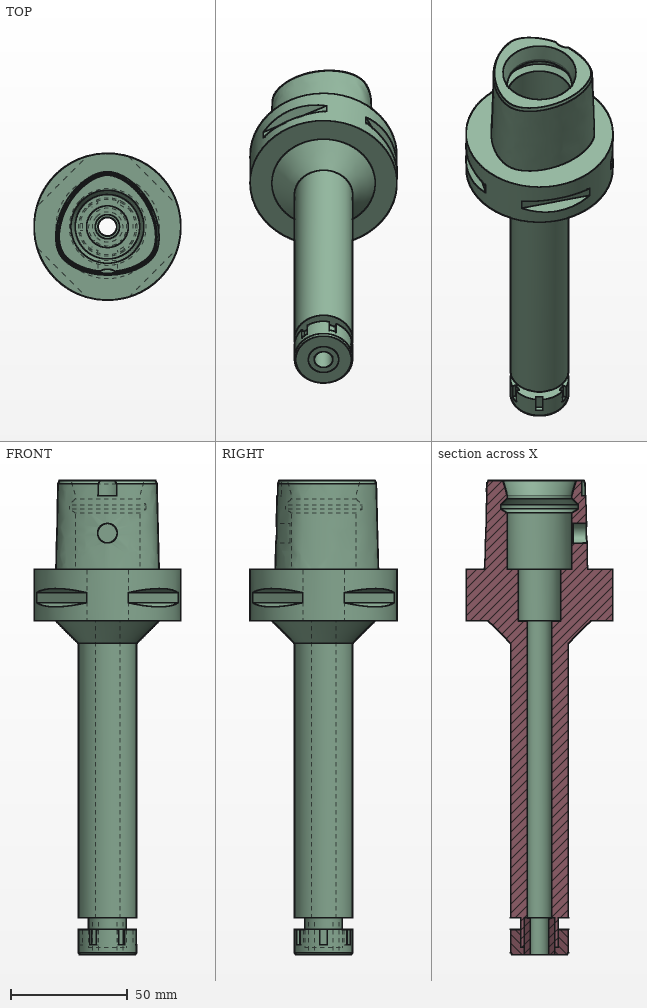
import cadquery as cq
import math

total_height = 203.0
shank_length = 38.0
flange_height = 22.1
flange_radius = 31.5
flange_top = total_height - shank_length
flange_bottom = flange_top - flange_height

shank_base_width = 44.3
shank_taper = 1 / 20
lobe_amplitude = 1.5
lobe_points = 36
shank_chamfer_height = 1.5
shank_chamfer_inset = 0.6

notch_radius = 6.0
notch_depth = 1.6
notch_height = 6.5
pocket_diameter = 8.3
pocket_drop = 22.5
pocket_floor_y = -14.5

mouth_radius = 15.6
bore_radius = 13.8
undercut_radius = 16.5
mouth_depth = 6.3
undercut_start = 7.7
undercut_full = undercut_start + undercut_radius - bore_radius
undercut_end = 12.2
seat_depth = 13.8
bore_depth = shank_length
counterbore_radius = 9.0
counterbore_depth = bore_depth + flange_height
coolant_radius = 10.4 / 2

groove_count = 4
groove_rise = 10.0
groove_first_angle = 45.0
groove_floor_distance = 27.6
groove_floor_height = 4.3
groove_flank_angle = 25.0
groove_middle = flange_bottom + groove_rise

body_radius = 25.0 / 2
cone_radius = 22.1
cone_bottom = flange_bottom - (cone_radius - body_radius)

nut_radius = body_radius
nut_height = 11.0
nut_chamfer_height = 1.0
nut_chamfer_inset = 0.6
nut_lip = 3.2
nut_slot_count = 6
nut_slot_width = 3.0
nut_slot_depth = 1.6
nut_slot_bottom = 4.3
neck_radius = 8.1
neck_gap = 4.9
body_bottom = nut_height + neck_gap
collet_radius = 6.5
collet_length = body_bottom
collet_bore_radius = 8.0 / 2


def revolve_profile(points):
    """Solid of revolution about Z from (radius, z) points."""
    return cq.Workplane("XZ").polyline(points).close().revolve(360, (0, 0, 0), (0, 1, 0))


def lobe_wire(width, z):
    """Smooth closed three-lobed curve of constant width with one lobe toward +Y."""

    def point(angle):
        lobe_phase = 3 * (angle - math.pi / 2)
        support = width / 2 + lobe_amplitude * math.cos(lobe_phase)
        slope = -3 * lobe_amplitude * math.sin(lobe_phase)
        x = support * math.cos(angle) - slope * math.sin(angle)
        y = support * math.sin(angle) + slope * math.cos(angle)
        return cq.Vector(x, y, z)

    points = [point(2 * math.pi * index / lobe_points) for index in range(lobe_points)]
    return cq.Wire.assembleEdges([cq.Edge.makeSpline(points, periodic=True)])


def shank_width(z):
    """Width of the tapered shank section at height z."""
    return shank_base_width - shank_taper * (z - flange_top)


def make_shank():
    chamfer_start = total_height - shank_chamfer_height
    chamfer_width = shank_width(chamfer_start)
    base_wire = lobe_wire(shank_base_width, flange_top)
    chamfer_wire = lobe_wire(chamfer_width, chamfer_start)
    top_wire = lobe_wire(chamfer_width - 2 * shank_chamfer_inset, total_height)
    taper = cq.Solid.makeLoft([base_wire, chamfer_wire], True)
    chamfer = cq.Solid.makeLoft([chamfer_wire, top_wire], True)
    return cq.Workplane(taper).union(cq.Workplane(chamfer))


def make_shank_notch():
    wall_y = lobe_amplitude - shank_width(total_height) / 2
    axis_y = wall_y + notch_depth - notch_radius
    notch = cq.Workplane("XY", origin=(0, axis_y, total_height - notch_height))
    return notch.circle(notch_radius).extrude(notch_height)


def make_shank_pocket():
    pocket = cq.Workplane("XZ", origin=(0, pocket_floor_y, total_height - pocket_drop))
    return pocket.circle(pocket_diameter / 2).extrude(flange_radius)


def make_clamping_bore():
    profile = [
        (mouth_radius, 0),
        (bore_radius, mouth_depth),
        (bore_radius, undercut_start),
        (undercut_radius, undercut_full),
        (undercut_radius, undercut_end),
        (bore_radius, seat_depth),
        (bore_radius, bore_depth),
        (counterbore_radius, bore_depth),
        (counterbore_radius, counterbore_depth),
        (coolant_radius, counterbore_depth),
        (coolant_radius, total_height - collet_length),
        (collet_radius, total_height - collet_length),
        (collet_radius, total_height),
        (0, total_height),
        (0, 0),
    ]
    return revolve_profile([(radius, total_height - depth) for radius, depth in profile])


def make_gripper_groove(angle):
    depth = flange_radius - groove_floor_distance
    half_floor = groove_floor_height / 2
    half_mouth = half_floor + depth * math.tan(math.radians(groove_flank_angle))
    section = [
        (groove_floor_distance, groove_middle - half_floor),
        (flange_radius, groove_middle - half_mouth),
        (flange_radius, groove_middle + half_mouth),
        (groove_floor_distance, groove_middle + half_floor),
    ]
    groove = cq.Workplane("XZ").polyline(section).close().extrude(flange_radius, both=True)
    return groove.rotate((0, 0, 0), (0, 0, 1), angle)


def make_holder():
    outline = [
        (0, flange_top),
        (flange_radius, flange_top),
        (flange_radius, flange_bottom),
        (cone_radius, flange_bottom),
        (body_radius, cone_bottom),
        (body_radius, body_bottom),
        (neck_radius, body_bottom),
        (neck_radius, nut_lip),
        (0, nut_lip),
    ]
    holder = revolve_profile(outline).union(make_shank())
    holder = holder.cut(make_clamping_bore()).cut(make_shank_notch()).cut(make_shank_pocket())
    for index in range(groove_count):
        holder = holder.cut(make_gripper_groove(groove_first_angle + index * 360 / groove_count))
    return holder


def make_nut():
    nut = revolve_profile([
        (collet_radius, 0),
        (nut_radius - nut_chamfer_inset, 0),
        (nut_radius, nut_chamfer_height),
        (nut_radius, nut_height),
        (neck_radius, nut_height),
        (neck_radius, nut_lip),
        (collet_radius, nut_lip),
    ])
    slot = (
        cq.Workplane("XY", origin=(nut_radius, 0, nut_slot_bottom))
        .rect(2 * nut_slot_depth, nut_slot_width)
        .extrude(nut_height - nut_slot_bottom)
    )
    for index in range(nut_slot_count):
        nut = nut.cut(slot.rotate((0, 0, 0), (0, 0, 1), index * 360 / nut_slot_count))
    return nut


def make_collet():
    return cq.Workplane("XY").circle(collet_radius).circle(collet_bore_radius).extrude(collet_length)


holder = make_holder()
nut = make_nut()
collet = make_collet()

result = cq.Compound.makeCompound([holder.val(), nut.val(), collet.val()])